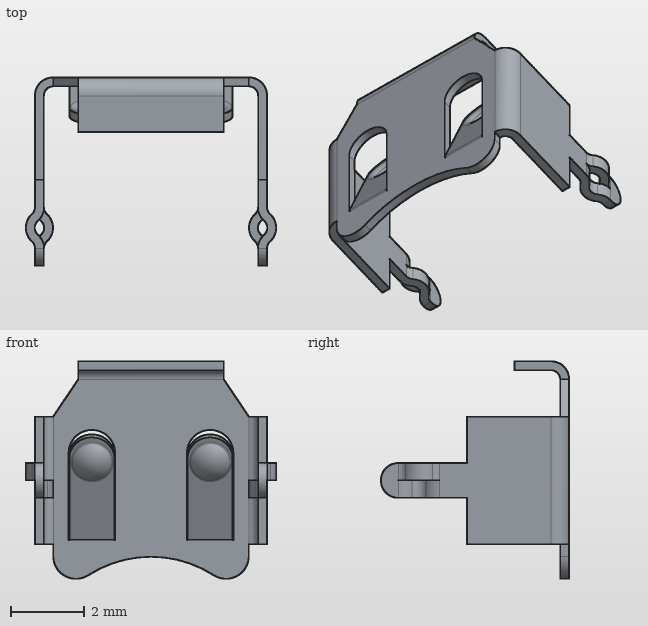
import cadquery as cq
import math


bend_outer = 0.5
sheet = bend_outer / 2
bend_inner = bend_outer - sheet
overall_width = 6.86
overall_depth = 5.16
overall_height = 5.96

wall_span = overall_width - 2 * sheet
plate_half = wall_span / 2 - bend_outer
shoulder_top = overall_height - bend_outer
corner_radius = 0.625
notch_depth = 0.605

lip_width = 3.99
lip_depth = 1.5

wall_outer_x = wall_span / 2
wall_inner_x = wall_outer_x - sheet
wall_bottom = 0.95
wall_height = 3.5
wall_top = wall_bottom + wall_height
wall_depth = 2.8
wall_middle = wall_bottom + wall_height / 2
tab_height = 0.96
tab_tip_radius = tab_height / 2
tab_tip_start = overall_depth - tab_tip_radius

strap_angle = math.acos(1 - sheet / (bend_outer + bend_inner))
eye_half = (bend_outer + bend_inner) * math.sin(strap_angle)
eye_centre = tab_tip_start - eye_half
eye_start = eye_centre - eye_half

slot_offset = 1.62
slot_width = 1.27
slot_bottom = 1.07
slot_top = 4.075
tongue_width = 1.235
tongue_length = 2.985
tongue_angle = 20.0

dimple_position = 2.28
dimple_radius = 0.755
dimple_fillet = 0.05
dimple_rim = 0.575


def box(x_min, x_max, y_min, y_max, z_min, z_max):
    """Block between the given limits."""
    return (
        cq.Workplane("XY")
        .box(x_max - x_min, y_max - y_min, z_max - z_min, centered=False)
        .translate((x_min, y_min, z_min))
    )


def make_plate():
    """Flat plate with sloped shoulders, round feet and an arched lower edge."""
    foot_x = plate_half - corner_radius
    centre_distance = (foot_x**2 + notch_depth**2) / (2 * notch_depth)
    join_x = foot_x * (1 - corner_radius / centre_distance)
    join_z = notch_depth * corner_radius / centre_distance
    outline = (
        cq.Workplane("XZ")
        .moveTo(-lip_width / 2, shoulder_top)
        .lineTo(lip_width / 2, shoulder_top)
        .lineTo(plate_half, wall_top)
        .lineTo(plate_half, corner_radius)
        .threePointArc((foot_x, 0), (join_x, join_z))
        .threePointArc((0, notch_depth), (-join_x, join_z))
        .threePointArc((-foot_x, 0), (-plate_half, corner_radius))
        .lineTo(-plate_half, wall_top)
        .close()
    )
    return outline.extrude(sheet)


def make_flange(plane, reach, length):
    """Flange folded off the plate through a right-angle bend.

    In the plane, x runs outward along the plate from the start of the bend
    and y runs forward from the back face; the flange ends at y = reach.
    """
    diagonal = math.sqrt(0.5)
    outer_middle = (bend_outer * diagonal, bend_outer * (1 - diagonal))
    inner_middle = (bend_inner * diagonal, bend_outer - bend_inner * diagonal)
    return (
        cq.Workplane(plane)
        .threePointArc(outer_middle, (bend_outer, bend_outer))
        .lineTo(bend_outer, reach)
        .lineTo(bend_inner, reach)
        .lineTo(bend_inner, bend_outer)
        .threePointArc(inner_middle, (0, sheet))
        .close()
        .extrude(length)
    )


def make_lip():
    """Lip folded forward from the top of the plate."""
    start = (-lip_width / 2, 0, shoulder_top)
    return make_flange(cq.Plane(start, xDir=(0, 0, 1), normal=(1, 0, 0)), lip_depth, lip_width)


def make_wall():
    """Right-hand side wall with the bend that joins it to the plate."""
    start = (plate_half, 0, wall_top)
    return make_flange(cq.Plane(start, xDir=(1, 0, 0), normal=(0, 0, -1)), wall_depth, wall_height)


def make_bump(side, x_base, crown_radius, end_radius, z_min):
    """Wave-shaped block on one face of a strap: a crown arc between two reversed end arcs."""
    crown_y = crown_radius * math.sin(strap_angle)
    crown_out = sheet - crown_radius * (1 - math.cos(strap_angle))
    end_y = eye_half - end_radius * math.sin(strap_angle / 2)
    end_out = end_radius * (1 - math.cos(strap_angle / 2))

    return (
        cq.Workplane("XY", origin=(x_base, -eye_centre, z_min))
        .moveTo(0, eye_half)
        .threePointArc((side * end_out, end_y), (side * crown_out, crown_y))
        .threePointArc((side * sheet, 0), (side * crown_out, -crown_y))
        .threePointArc((side * end_out, -end_y), (0, -eye_half))
        .close()
        .extrude(tab_height / 2)
    )


def make_strap(side, z_min):
    """Half-height strap of the eye, bulging toward +X (side = 1) or -X (side = -1)."""
    far_x, near_x = (wall_outer_x, wall_inner_x) if side > 0 else (wall_inner_x, wall_outer_x)
    z_max = z_min + tab_height / 2
    flat = box(wall_inner_x, wall_outer_x, -tab_tip_start, -eye_start, z_min, z_max)
    bulge = make_bump(side, far_x, bend_outer, bend_inner, z_min)
    hollow = make_bump(side, near_x, bend_inner, bend_outer, z_min)
    return flat.union(bulge).cut(hollow)


def make_tab():
    """Right-hand solder tab: flat root, split eye and round tip."""
    tab_bottom = wall_middle - tab_height / 2
    tab_top = tab_bottom + tab_height
    root = box(wall_inner_x, wall_outer_x, -eye_start, -wall_depth, tab_bottom, tab_top)
    tip = (
        cq.Workplane("YZ", origin=(wall_inner_x, 0, 0))
        .moveTo(-tab_tip_start, tab_bottom)
        .threePointArc((-overall_depth, wall_middle), (-tab_tip_start, tab_top))
        .close()
        .extrude(sheet)
    )
    return root.union(make_strap(1, wall_middle)).union(make_strap(-1, tab_bottom)).union(tip)


def make_round_top_strip(width, bottom, top):
    """Upright strip of sheet with a semicircular top, centred on X = 0."""
    half = width / 2
    return (
        cq.Workplane("XZ")
        .moveTo(-half, bottom)
        .lineTo(half, bottom)
        .lineTo(half, top - half)
        .threePointArc((0, top), (-half, top - half))
        .close()
        .extrude(sheet)
    )


def make_dimple():
    """Stamped dimple of even thickness, returned as the raised dome and the hollow behind it."""
    front_y = -sheet
    bend_centre = dimple_radius + dimple_fillet
    bend_angle = math.asin(dimple_rim / bend_centre)
    sphere_y = front_y - dimple_fillet + bend_centre * math.cos(bend_angle)

    def revolve_skin(sphere_radius, fillet_radius, base_y):
        """Solid between a flat base and one face of the dimple."""
        def sphere_point(angle):
            return (sphere_radius * math.sin(angle), sphere_y - sphere_radius * math.cos(angle))

        fillet_middle = (
            dimple_rim - fillet_radius * math.sin(bend_angle / 2),
            front_y - dimple_fillet + fillet_radius * math.cos(bend_angle / 2),
        )
        return (
            cq.Workplane("XY")
            .moveTo(0, base_y)
            .lineTo(dimple_rim, base_y)
            .threePointArc(fillet_middle, sphere_point(bend_angle))
            .threePointArc(sphere_point(bend_angle / 2), sphere_point(0))
            .close()
            .revolve(360, (0, 0, 0), (0, 1, 0))
            .translate((0, 0, slot_bottom + dimple_position))
        )

    dome = revolve_skin(dimple_radius, dimple_fillet, front_y)
    hollow = revolve_skin(dimple_radius - sheet, dimple_fillet + sheet, 0)
    return dome, hollow


def make_tongue():
    """Spring tongue on X = 0, folded forward about the front lower edge of its slot."""
    half = tongue_width / 2
    fold_start = (-half, -sheet, slot_bottom)
    fold_end = (half, -sheet, slot_bottom)
    dome, hollow = make_dimple()
    blade = make_round_top_strip(tongue_width, slot_bottom, slot_bottom + tongue_length)
    blade = blade.union(dome).cut(hollow).rotate(fold_start, fold_end, tongue_angle)
    fold = (
        cq.Workplane("XY", origin=(0, -sheet / 2, slot_bottom))
        .rect(tongue_width, sheet)
        .revolve(tongue_angle, (-half, -sheet / 2), (half, -sheet / 2))
    )
    return blade.union(fold)


def make_clip():
    """Whole clip; the left wall and tab mirror the right ones."""
    clip = make_plate().union(make_lip())
    side = make_wall().union(make_tab())
    clip = clip.union(side).union(side.mirror("YZ"))
    slot = make_round_top_strip(slot_width, slot_bottom, slot_top)
    tongue = make_tongue()
    for x in (-slot_offset, slot_offset):
        clip = clip.cut(slot.translate((x, 0, 0)))
        clip = clip.union(tongue.translate((x, 0, 0)))
    return clip


clip = make_clip()

result = cq.Compound.makeCompound([clip.solids().val()])